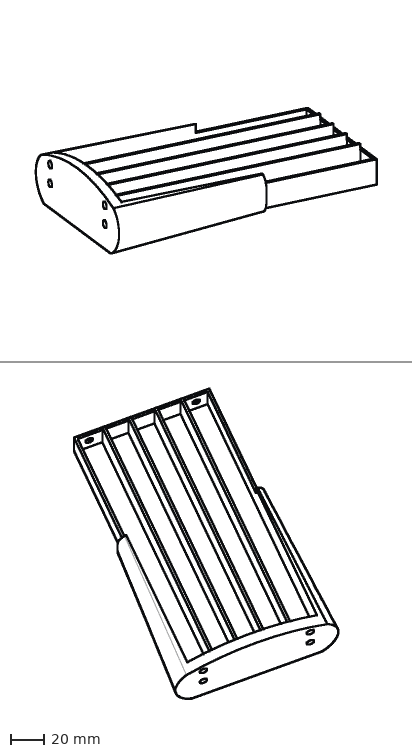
import cadquery as cq

length = 180.0
plate_thickness = 7.4
sleeve_length = 103.0

tray_width = 87.8
wall = 1.8
tray_bottom = 8.8
floor_top = tray_bottom + wall
wall_top = 25.4
rib_top = 29.0
rib_count = 4
rib_pitch = 17.0
cavity_width = tray_width - 2 * wall
cavity_length = length - wall - plate_thickness

outer_width = 106.0
front_side = ((42.5, 0.0), (50.5, 8.0), (outer_width / 2, 16.2), (51.3, 24.3), (45.7, 31.0))
front_crown = 39.6
rear_side = ((42.3, 6.1), (46.8, 10.0), (47.7, 18.0), (47.0, 27.0), (43.2, 31.0))
rear_crown = 36.0

hole_diameter = 4.7
hole_spacing = 69.5
lower_hole_height = 16.4
upper_hole_height = 28.6
rear_hole_height = 18.4


def block(width, y_start, depth, bottom, top):
    """Box centred on X, placed by its front face and its heights."""
    return (
        cq.Workplane("XY", origin=(0, y_start, bottom))
        .box(width, depth, top - bottom, centered=(True, False, False))
    )


def section_wire(y, side, crown):
    """Closed section with a flat base, round sides and an arched top."""
    mirrored_side = [(-x, z) for x, z in reversed(side)]
    outline = (
        cq.Workplane("XZ", origin=(0, y, 0))
        .moveTo(*mirrored_side[-1])
        .lineTo(*side[0])
        .spline(side[1:], includeCurrent=True)
        .threePointArc((0, crown), mirrored_side[0])
        .spline(mirrored_side[1:], includeCurrent=True)
        .close()
    )
    return outline.val()


def make_sleeve():
    """Tapered grip, solid until the tray cavity is cut."""
    sections = [
        section_wire(0, front_side, front_crown),
        section_wire(sleeve_length, rear_side, rear_crown),
    ]
    return cq.Workplane(cq.Solid.makeLoft(sections, True))


def make_cavity():
    """Tray space, open upwards through the top of the sleeve."""
    return block(cavity_width, plate_thickness, cavity_length, floor_top, front_crown)


def make_ribs():
    """Lengthwise dividers standing higher than the tray walls."""
    ribs = cq.Workplane("XY")
    rib = block(wall, plate_thickness, cavity_length, floor_top, rib_top)
    for index in range(rib_count):
        offset = (index - (rib_count - 1) / 2) * rib_pitch
        ribs = ribs.add(rib.translate((offset, 0, 0)))
    return ribs.combine()


def make_holes(y_start, depth, heights):
    """Pairs of round holes along Y at the given heights."""
    points = [(side * hole_spacing / 2, z) for side in (-1, 1) for z in heights]
    return (
        cq.Workplane("XZ", origin=(0, y_start, 0))
        .pushPoints(points)
        .circle(hole_diameter / 2)
        .extrude(-depth)
    )


tray = block(tray_width, plate_thickness, length - plate_thickness, tray_bottom, wall_top)
result = make_sleeve().union(tray).cut(make_cavity()).union(make_ribs())

result = result.cut(make_holes(0, plate_thickness, (lower_hole_height, upper_hole_height)))
result = result.cut(make_holes(length - wall, wall, (rear_hole_height,)))